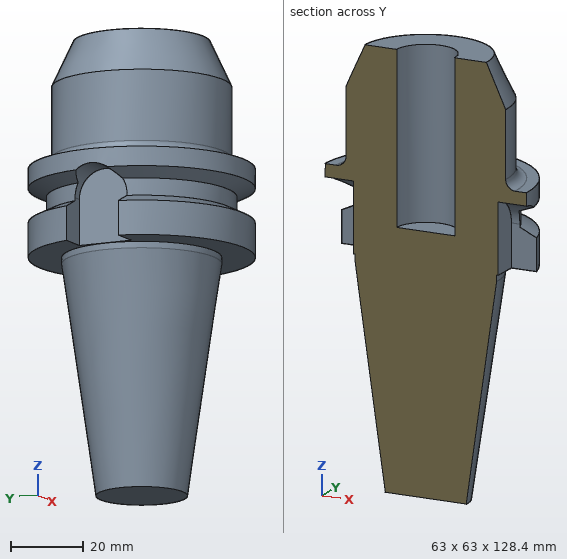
import cadquery as cq
import math

total_height = 128.4
taper_height = 65.6
flange_bottom = 67.4
flange_top = 92.5
groove_bottom = 79.6
groove_top = 84.5
groove_flank_height = 2.5
nose_height = 12.8

taper_small_radius = 12.7
taper_large_radius = 22.2
flange_diameter = 63.0
flange_radius = flange_diameter / 2
groove_radius = 26.5
body_radius = 25.0
nose_radius = 19.0
body_fillet = 3.0

bore_radius = 9.0
bore_depth = 51.4
slot_width = 16.0
slot_top = 88.5
slot_floor = 22.6


def make_holder():
    """Revolve the half outline: shank, grooved flange, body and conical nose."""
    fillet_mid_offset = body_fillet * (1 - math.sqrt(0.5))
    profile = (
        cq.Workplane("XZ")
        .moveTo(0, 0)
        .lineTo(taper_small_radius, 0)
        .lineTo(taper_large_radius, taper_height)
        .lineTo(taper_large_radius, flange_bottom)
        .lineTo(flange_radius, flange_bottom)
        .lineTo(flange_radius, groove_bottom - groove_flank_height)
        .lineTo(groove_radius, groove_bottom)
        .lineTo(groove_radius, groove_top)
        .lineTo(flange_radius, groove_top + groove_flank_height)
        .lineTo(flange_radius, flange_top)
        .lineTo(body_radius + body_fillet, flange_top)
        .threePointArc(
            (body_radius + fillet_mid_offset, flange_top + fillet_mid_offset),
            (body_radius, flange_top + body_fillet),
        )
        .lineTo(body_radius, total_height - nose_height)
        .lineTo(nose_radius, total_height)
        .lineTo(0, total_height)
        .close()
    )
    return profile.revolve(360, (0, 0, 0), (0, 1, 0))


def make_bore():
    """Blind round bore entering from the nose."""
    bottom = cq.Workplane("XY").workplane(offset=total_height - bore_depth)
    return bottom.circle(bore_radius).extrude(bore_depth)


def make_drive_slot(side):
    """Round-ended slot on the +X (side=1) or -X (side=-1) edge of the flange."""
    half_width = slot_width / 2
    outline = (
        cq.Workplane("YZ")
        .workplane(offset=side * slot_floor)
        .moveTo(-half_width, flange_bottom)
        .lineTo(half_width, flange_bottom)
        .lineTo(half_width, slot_top - half_width)
        .threePointArc((0, slot_top), (-half_width, slot_top - half_width))
        .close()
    )
    return outline.extrude(side * 2 * (flange_radius - slot_floor))


result = make_holder().cut(make_bore())
for side in (-1, 1):
    result = result.cut(make_drive_slot(side))